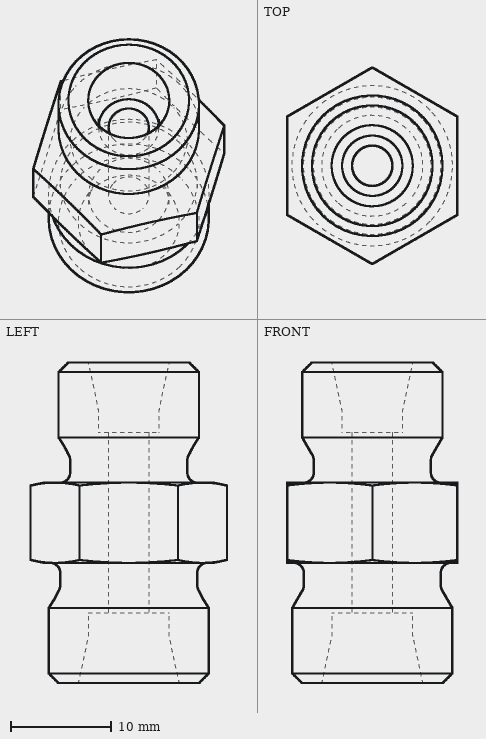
import cadquery as cq
import math

LENGTH = 32.0
HEX_ACROSS_FLATS = 17.0
HEX_HEIGHT = 8.0
HEX_CORNER_DROP = 0.3
HEX_FACE_DIAMETER = HEX_ACROSS_FLATS

UPPER_DIAMETER = 14.0
UPPER_NECK_DIAMETER = 11.7
LOWER_DIAMETER = 16.0
LOWER_NECK_DIAMETER = 13.7
THREAD_LENGTH = 7.5
END_CHAMFER = 1.0
RUNOUT_ANGLE = 30.0
NECK_FILLET = 1.0

BORE_DIAMETER = 4.0
UPPER_SOCKET_DIAMETER = 6.0
UPPER_MOUTH_DIAMETER = 8.1
LOWER_SOCKET_DIAMETER = 8.0
LOWER_MOUTH_DIAMETER = LOWER_SOCKET_DIAMETER + UPPER_MOUTH_DIAMETER - UPPER_SOCKET_DIAMETER
SOCKET_DEPTH = 7.0
SOCKET_HALF_ANGLE = 12.0

HEX_BOTTOM = (LENGTH - HEX_HEIGHT) / 2
HEX_TOP = HEX_BOTTOM + HEX_HEIGHT


def revolve_about_z(profile):
    return profile.close().revolve(360, (0, 0, 0), (0, 1, 0))


def threaded_end(diameter, neck_diameter):
    """Stud from its free end at z = 0 up to the hexagon, with both neck blends."""
    radius = diameter / 2
    neck_radius = neck_diameter / 2
    angle = math.radians(RUNOUT_ANGLE)
    runout_end = THREAD_LENGTH + (radius - neck_radius) / math.tan(angle)

    tangent = NECK_FILLET * math.tan(angle / 2)
    centre_r = neck_radius + NECK_FILLET
    centre_z = runout_end + tangent
    blend_start = (neck_radius + tangent * math.sin(angle), runout_end - tangent * math.cos(angle))
    blend_middle = (
        centre_r - NECK_FILLET * math.cos(angle / 2),
        centre_z - NECK_FILLET * math.sin(angle / 2),
    )

    fillet_start = HEX_BOTTOM - NECK_FILLET
    fillet_middle = (
        centre_r - NECK_FILLET * math.cos(math.pi / 4),
        fillet_start + NECK_FILLET * math.sin(math.pi / 4),
    )

    return revolve_about_z(
        cq.Workplane("XZ")
        .lineTo(radius - END_CHAMFER, 0)
        .lineTo(radius, END_CHAMFER)
        .lineTo(radius, THREAD_LENGTH)
        .lineTo(*blend_start)
        .threePointArc(blend_middle, (neck_radius, centre_z))
        .lineTo(neck_radius, fillet_start)
        .threePointArc(fillet_middle, (centre_r, HEX_BOTTOM))
        .lineTo(0, HEX_BOTTOM)
    )


def chamfered_hexagon():
    """Hexagon with flats on +X and -X and its corners turned down at both ends."""
    across_corners = HEX_ACROSS_FLATS / math.cos(math.pi / 6)
    hexagon = (
        cq.Workplane("XY")
        .workplane(offset=HEX_BOTTOM)
        .transformed(rotate=(0, 0, 90))
        .polygon(6, across_corners)
        .extrude(HEX_HEIGHT)
    )
    face_radius = HEX_FACE_DIAMETER / 2
    corner_radius = across_corners / 2
    turned_envelope = revolve_about_z(
        cq.Workplane("XZ")
        .moveTo(0, HEX_BOTTOM)
        .lineTo(face_radius, HEX_BOTTOM)
        .lineTo(corner_radius, HEX_BOTTOM + HEX_CORNER_DROP)
        .lineTo(corner_radius, HEX_TOP - HEX_CORNER_DROP)
        .lineTo(face_radius, HEX_TOP)
        .lineTo(0, HEX_TOP)
    )
    return hexagon.intersect(turned_envelope)


def tube_socket(socket_diameter, mouth_diameter):
    """Cutter for a flat-bottomed socket with a sealing cone opening at z = 0."""
    socket_radius = socket_diameter / 2
    mouth_radius = mouth_diameter / 2
    cone_depth = (mouth_radius - socket_radius) / math.tan(math.radians(SOCKET_HALF_ANGLE))
    return revolve_about_z(
        cq.Workplane("XZ")
        .lineTo(mouth_radius, 0)
        .lineTo(socket_radius, cone_depth)
        .lineTo(socket_radius, SOCKET_DEPTH)
        .lineTo(0, SOCKET_DEPTH)
    )


def turn_to_upper_end(solid):
    """Flip a lower-end solid so that its free end lies at the top of the body."""
    return solid.rotate((0, 0, 0), (1, 0, 0), 180).translate((0, 0, LENGTH))


lower_end = threaded_end(LOWER_DIAMETER, LOWER_NECK_DIAMETER)
upper_end = turn_to_upper_end(threaded_end(UPPER_DIAMETER, UPPER_NECK_DIAMETER))
body = chamfered_hexagon().union(lower_end).union(upper_end)

through_bore = cq.Workplane("XY").circle(BORE_DIAMETER / 2).extrude(LENGTH)
lower_socket = tube_socket(LOWER_SOCKET_DIAMETER, LOWER_MOUTH_DIAMETER)
upper_socket = turn_to_upper_end(tube_socket(UPPER_SOCKET_DIAMETER, UPPER_MOUTH_DIAMETER))

result = body.cut(through_bore).cut(lower_socket).cut(upper_socket)